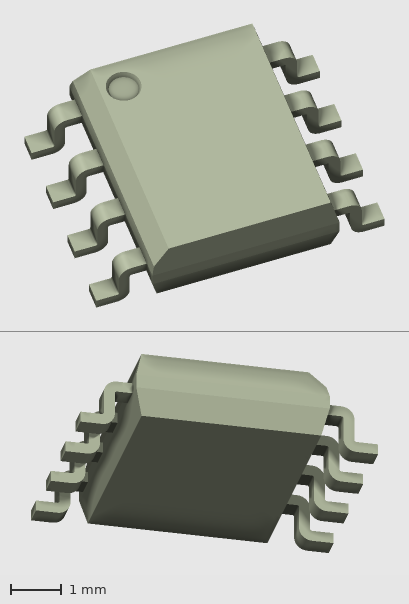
import cadquery as cq

body_length = 4.9
body_width = 3.9
body_bottom = 0.175
body_top = 1.55
band_height = 0.28
draft_inset = 0.14
draft_height = (body_top - body_bottom - band_height) / 2
band_bottom = body_bottom + draft_height
band_top = band_bottom + band_height

bevel_drop = 0.335
inset_at_bevel = draft_inset * (draft_height - bevel_drop) / draft_height

dimple_top_diameter = 0.7
dimple_floor_diameter = 0.59
dimple_depth = 0.095
dimple_x = -1.71
dimple_y = -1.08

lead_span = 6.0
lead_count = 4
lead_pitch = 1.27
lead_width = 0.425
lead_thickness = 0.22
lead_top = 0.98
foot_length = 0.475
inner_bend = 0.04
outer_bend = inner_bend + lead_thickness
lead_embed = 0.3


def drafted_half(base_z, height):
    """Tapered half of the body; a negative height builds downwards."""
    return (
        cq.Workplane("XY", origin=(0, 0, base_z))
        .rect(body_length, body_width)
        .workplane(offset=height)
        .rect(body_length - 2 * draft_inset, body_width - 2 * draft_inset)
        .loft(ruled=True)
    )


def make_bevel_cutter():
    """Triangular prism that takes off the upper front edge."""
    front_y = -body_width / 2 + inset_at_bevel
    inner_y = front_y + bevel_drop
    return (
        cq.Workplane("YZ")
        .moveTo(front_y, body_top - bevel_drop)
        .lineTo(inner_y, body_top)
        .lineTo(front_y, body_top)
        .close()
        .extrude(body_length / 2, both=True)
    )


def make_dimple():
    """Cone frustum sunk into the top face."""
    return (
        cq.Workplane("XY", origin=(dimple_x, dimple_y, body_top))
        .circle(dimple_top_diameter / 2)
        .workplane(offset=-dimple_depth)
        .circle(dimple_floor_diameter / 2)
        .loft()
    )


def make_body():
    band = (
        cq.Workplane("XY", origin=(0, 0, band_bottom))
        .rect(body_length, body_width)
        .extrude(band_height)
    )
    body = band.union(drafted_half(band_top, draft_height))
    body = body.union(drafted_half(band_bottom, -draft_height))
    return body.cut(make_bevel_cutter()).cut(make_dimple())


def make_rear_lead():
    """S-bent strip on the +Y side, centred on X = 0, with its foot on Z = 0."""
    tip_y = lead_span / 2
    root_y = body_width / 2 - lead_embed
    shank_outer_y = tip_y - foot_length
    shank_inner_y = shank_outer_y - lead_thickness
    shoulder_underside = lead_top - lead_thickness
    return (
        cq.Workplane("YZ")
        .moveTo(root_y, lead_top)
        .lineTo(shank_outer_y - outer_bend, lead_top)
        .tangentArcPoint((outer_bend, -outer_bend))
        .lineTo(shank_outer_y, lead_thickness + inner_bend)
        .tangentArcPoint((inner_bend, -inner_bend))
        .lineTo(tip_y, lead_thickness)
        .lineTo(tip_y, 0)
        .lineTo(shank_inner_y + outer_bend, 0)
        .tangentArcPoint((-outer_bend, outer_bend))
        .lineTo(shank_inner_y, shoulder_underside - inner_bend)
        .tangentArcPoint((-inner_bend, inner_bend))
        .lineTo(root_y, shoulder_underside)
        .close()
        .extrude(lead_width / 2, both=True)
    )


result = make_body()
rear_lead = make_rear_lead()
front_lead = rear_lead.mirror("XZ")
for index in range(lead_count):
    lead_x = (index - (lead_count - 1) / 2) * lead_pitch
    result = result.union(rear_lead.translate((lead_x, 0, 0)))
    result = result.union(front_lead.translate((lead_x, 0, 0)))